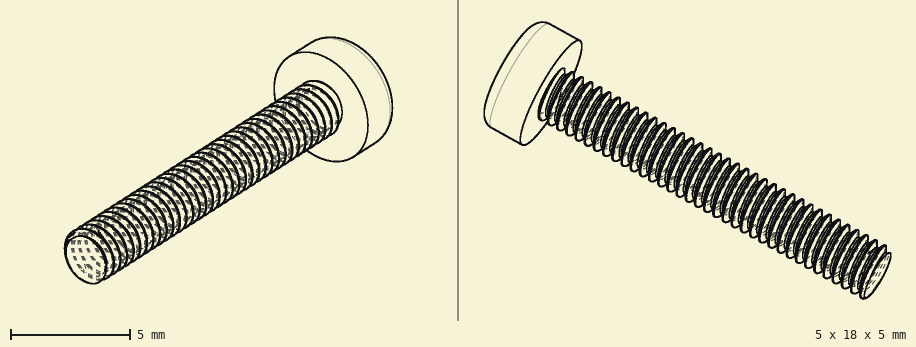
import cadquery as cq
import math

head_diameter = 5.0
head_height = 2.0
head_round = 0.5

screw_length = 18.0
crest_diameter = 2.43
root_diameter = 1.93
pitch = 0.45
crest_flat = pitch / 8
flank_slope = 30.0
tip_crest_angle = -90.0
overrun_turns = 2
end_tolerance = 0.0002

shank_length = screw_length - head_height
crest_radius = crest_diameter / 2
root_radius = root_diameter / 2
flank_width = (crest_radius - root_radius) * math.tan(math.radians(flank_slope))


def make_head():
    disc = cq.Workplane("XY").circle(head_diameter / 2).extrude(head_height)
    return disc.faces(">Z").edges().fillet(head_round).val()


def helical_edge(radius, offset):
    """One long thread edge, shifted along Z from the middle of the crest."""
    overrun = overrun_turns * pitch
    helix = cq.Wire.makeHelix(pitch, shank_length + 2 * overrun, radius)
    return helix.translate(cq.Vector(0, 0, offset - overrun)).Edges()[0]


def thread_faces():
    """Lower flank, crest, upper flank and root strips, trimmed flat at both ends of the shank."""
    half_crest = crest_flat / 2
    half_ridge = half_crest + flank_width
    edges = [
        helical_edge(root_radius, -half_ridge),
        helical_edge(crest_radius, -half_crest),
        helical_edge(crest_radius, half_crest),
        helical_edge(root_radius, half_ridge),
        helical_edge(root_radius, pitch - half_ridge),
    ]
    trim_box = cq.Solid.makeBox(
        head_diameter, head_diameter, shank_length, cq.Vector(-head_diameter / 2, -head_diameter / 2, 0)
    )
    strips = [cq.Face.makeRuledSurface(lower, upper) for lower, upper in zip(edges, edges[1:])]
    return [face for strip in strips for face in strip.intersect(trim_box).Faces()]


def end_face(side_faces, height):
    """Flat face closing the thread surfaces at one end."""

    def lies_in_end(edge):
        points = (edge.startPoint(), edge.positionAt(0.5), edge.endPoint())
        return all(abs(point.z - height) < end_tolerance for point in points)

    rim = [edge for face in side_faces for edge in face.Edges() if lies_in_end(edge)]
    return cq.Face.makeFromWires(cq.Wire.assembleEdges(rim))


def make_shank():
    sides = thread_faces()
    ends = [end_face(sides, height) for height in (0, shank_length)]
    return cq.Solid.makeSolid(cq.Shell.makeShell(sides + ends))


def lay_along_y(body, start):
    """Turn a body built up the Z axis so that it runs along +Y from the given place."""
    return body.rotate(cq.Vector(), cq.Vector(1, 0, 0), -90).translate(cq.Vector(0, start, 0))


shank = lay_along_y(make_shank(), 0).rotate(cq.Vector(), cq.Vector(0, 1, 0), -tip_crest_angle)
head = lay_along_y(make_head(), shank_length)

result = cq.Compound.makeCompound([head, shank])